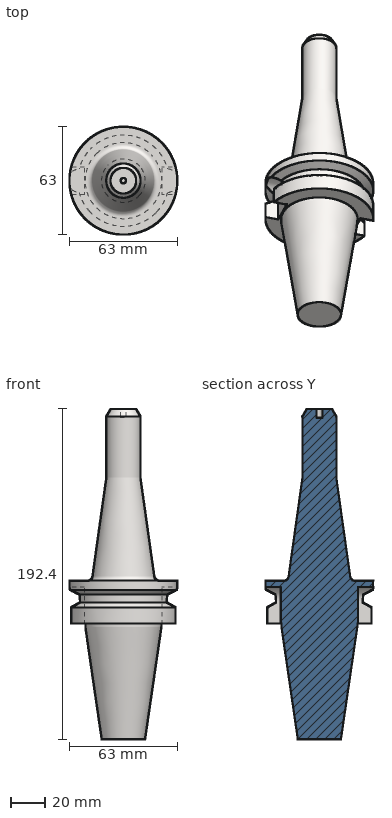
import cadquery as cq
import math

GAUGE_DIAMETER = 44.45
TAPER_LENGTH = 65.4
TAPER_RATIO = 7 / 24
COLLAR_HEIGHT = 2.0

FLANGE_DIAMETER = 63.0
FLANGE_THICKNESS = 25.0
GROOVE_CENTER_Z = 16.6
GROOVE_WIDTH = 10.2
GROOVE_FLOOR_DIAMETER = 53.25
GROOVE_WALL_ANGLE = 30.0

TOP_Z = 127.0
NOSE_DIAMETER = 20.0
NOSE_LENGTH = 40.0
NOSE_CHAMFER_ANGLE = 30.0
NOSE_TIP_DIAMETER = 15.0
NECK_HALF_ANGLE = 8.0
NECK_FILLET_RADIUS = 3.0

CENTER_HOLE_DIAMETER = 3.15
CENTER_HOLE_DEPTH = 5.0

SLOT_WIDTH = 16.1
SLOT_FLOOR_X = 22.6
SLOT_TOP_GAP = 3.8

FLANGE_BOTTOM_Z = COLLAR_HEIGHT
FLANGE_TOP_Z = FLANGE_BOTTOM_Z + FLANGE_THICKNESS


def revolve_about_z(profile):
    """Full turn of an outline drawn in the XZ plane."""
    return profile.revolve(360, (0, 0), (0, 1))


def make_taper():
    """Tapered shank with a short cylindrical collar under the flange."""
    gauge_radius = GAUGE_DIAMETER / 2
    small_radius = gauge_radius - TAPER_LENGTH * TAPER_RATIO / 2
    profile = (
        cq.Workplane("XZ")
        .moveTo(0, -TAPER_LENGTH)
        .lineTo(small_radius, -TAPER_LENGTH)
        .lineTo(gauge_radius, 0)
        .lineTo(gauge_radius, FLANGE_BOTTOM_Z)
        .lineTo(0, FLANGE_BOTTOM_Z)
        .close()
    )
    return revolve_about_z(profile)


def make_flange():
    """Flange disc with a trapezoidal gripper groove around its rim."""
    rim_radius = FLANGE_DIAMETER / 2
    floor_radius = GROOVE_FLOOR_DIAMETER / 2
    wall_height = (rim_radius - floor_radius) * math.tan(math.radians(GROOVE_WALL_ANGLE))
    half_rim = GROOVE_WIDTH / 2
    half_floor = half_rim - wall_height
    profile = (
        cq.Workplane("XZ")
        .moveTo(0, FLANGE_BOTTOM_Z)
        .lineTo(rim_radius, FLANGE_BOTTOM_Z)
        .lineTo(rim_radius, GROOVE_CENTER_Z - half_rim)
        .lineTo(floor_radius, GROOVE_CENTER_Z - half_floor)
        .lineTo(floor_radius, GROOVE_CENTER_Z + half_floor)
        .lineTo(rim_radius, GROOVE_CENTER_Z + half_rim)
        .lineTo(rim_radius, FLANGE_TOP_Z)
        .lineTo(0, FLANGE_TOP_Z)
        .close()
    )
    return revolve_about_z(profile)


def make_neck():
    """Conical neck, filleted into the flange, ending in a chamfered cylindrical nose."""
    nose_radius = NOSE_DIAMETER / 2
    tip_radius = NOSE_TIP_DIAMETER / 2
    chamfer_height = (nose_radius - tip_radius) / math.tan(math.radians(NOSE_CHAMFER_ANGLE))
    nose_bottom_z = TOP_Z - NOSE_LENGTH
    angle = math.radians(NECK_HALF_ANGLE)
    root_radius = nose_radius + (nose_bottom_z - FLANGE_TOP_Z) * math.tan(angle)

    tangent_length = NECK_FILLET_RADIUS * math.tan((math.pi / 2 - angle) / 2)
    fillet_center_radius = root_radius + tangent_length
    fillet_center_z = FLANGE_TOP_Z + NECK_FILLET_RADIUS

    def fillet_point(slope):
        """Point of the fillet where its surface is tilted by slope from the vertical."""
        return (
            fillet_center_radius - NECK_FILLET_RADIUS * math.cos(slope),
            fillet_center_z - NECK_FILLET_RADIUS * math.sin(slope),
        )

    fillet_middle_angle = (math.pi / 2 + angle) / 2
    profile = (
        cq.Workplane("XZ")
        .moveTo(0, FLANGE_TOP_Z)
        .lineTo(fillet_center_radius, FLANGE_TOP_Z)
        .threePointArc(fillet_point(fillet_middle_angle), fillet_point(angle))
        .lineTo(nose_radius, nose_bottom_z)
        .lineTo(nose_radius, TOP_Z - chamfer_height)
        .lineTo(tip_radius, TOP_Z)
        .lineTo(0, TOP_Z)
        .close()
    )
    return revolve_about_z(profile)


def make_drive_slot(side):
    """Cutter for a round-topped drive slot, open at the bottom; side is +1 or -1 along X."""
    half_width = SLOT_WIDTH / 2
    crown_z = FLANGE_TOP_Z - SLOT_TOP_GAP
    arc_center_z = crown_z - half_width
    slot_depth = FLANGE_DIAMETER / 2 - SLOT_FLOOR_X
    return (
        cq.Workplane("YZ", origin=(side * SLOT_FLOOR_X, 0, 0))
        .moveTo(-half_width, FLANGE_BOTTOM_Z)
        .lineTo(half_width, FLANGE_BOTTOM_Z)
        .lineTo(half_width, arc_center_z)
        .threePointArc((0, crown_z), (-half_width, arc_center_z))
        .close()
        .extrude(side * slot_depth)
    )


def make_center_hole():
    """Cutter for the blind hole in the nose tip."""
    return (
        cq.Workplane("XY", origin=(0, 0, TOP_Z - CENTER_HOLE_DEPTH))
        .circle(CENTER_HOLE_DIAMETER / 2)
        .extrude(CENTER_HOLE_DEPTH)
    )


holder = make_taper().union(make_flange()).union(make_neck())
for slot_side in (-1, 1):
    holder = holder.cut(make_drive_slot(slot_side))
result = holder.cut(make_center_hole())